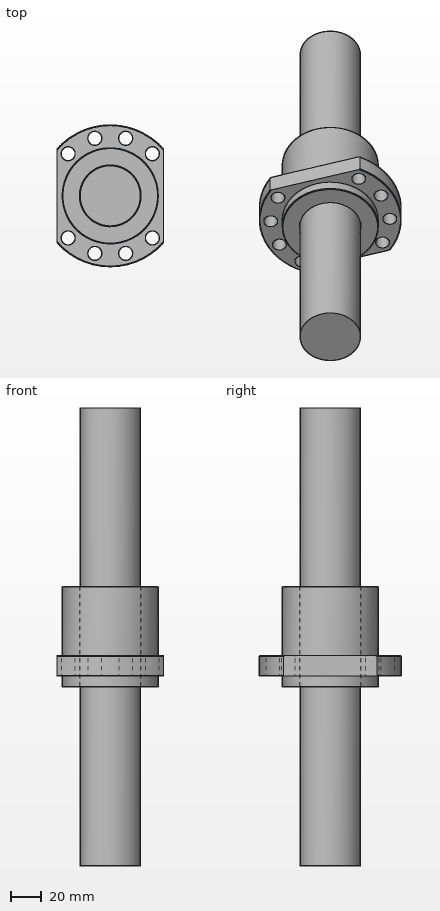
import cadquery as cq
import math

SHAFT_LENGTH = 300.0
SHAFT_DIAMETER = 39.5

NUT_LENGTH = 66.0
NUT_DIAMETER = 63.0
NUT_BORE = 40.2
EDGE_CHAMFER = 0.5

FLANGE_DIAMETER = 93.0
FLANGE_WIDTH = 70.0
FLANGE_THICKNESS = 13.5
FLANGE_OFFSET = 7.2

HOLE_DIAMETER = 9.0
HOLE_CIRCLE_DIAMETER = 78.0
HOLE_ANGLES = (45, 75, 105, 135, 225, 255, 285, 315)

NUT_BOTTOM = -NUT_LENGTH / 2
FLANGE_BOTTOM = NUT_BOTTOM + FLANGE_OFFSET


def make_shaft():
    """Plain round shaft centred on the origin."""
    return cq.Workplane("XY").circle(SHAFT_DIAMETER / 2).extrude(SHAFT_LENGTH / 2, both=True)


def make_barrel():
    """Round nut body with chamfered outer edges."""
    barrel = cq.Workplane("XY", origin=(0, 0, NUT_BOTTOM)).circle(NUT_DIAMETER / 2).extrude(NUT_LENGTH)
    return barrel.faces("<Z or >Z").edges().chamfer(EDGE_CHAMFER)


def make_flange():
    """Round flange with chamfered rims, trimmed by two flats and drilled."""
    flange_plane = cq.Workplane("XY", origin=(0, 0, FLANGE_BOTTOM))
    disc = flange_plane.circle(FLANGE_DIAMETER / 2).extrude(FLANGE_THICKNESS)
    disc = disc.faces("<Z or >Z").edges().chamfer(EDGE_CHAMFER)
    between_flats = flange_plane.rect(FLANGE_WIDTH, FLANGE_DIAMETER).extrude(FLANGE_THICKNESS)

    hole_circle_radius = HOLE_CIRCLE_DIAMETER / 2
    hole_centres = [
        (hole_circle_radius * math.cos(math.radians(angle)), hole_circle_radius * math.sin(math.radians(angle)))
        for angle in HOLE_ANGLES
    ]
    holes = flange_plane.pushPoints(hole_centres).circle(HOLE_DIAMETER / 2).extrude(FLANGE_THICKNESS)
    return disc.intersect(between_flats).cut(holes)


def make_nut():
    """Flanged nut bored through for the shaft."""
    bore = cq.Workplane("XY", origin=(0, 0, NUT_BOTTOM)).circle(NUT_BORE / 2).extrude(NUT_LENGTH)
    return make_barrel().union(make_flange()).cut(bore)


shaft = make_shaft()
nut = make_nut()

result = cq.Compound.makeCompound([shaft.val(), *nut.vals()])